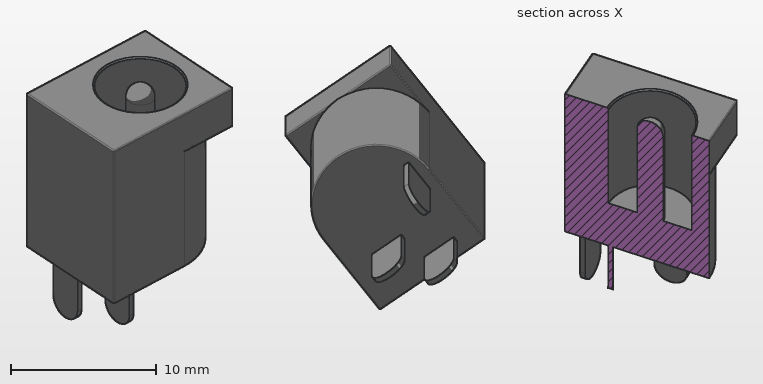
import cadquery as cq

width = 9.0
depth = 11.0
total_height = 18.0
leg_length = 4.93
body_height = total_height - leg_length
edge_radius = 0.09

barrel_radius = width / 2
axis_y = depth / 2 - barrel_radius
head_height = 3.31

bore_diameter = 6.3
bore_depth = 9.0
rim_chamfer = 0.1
pin_diameter = 2.0
pin_radius = pin_diameter / 2

leg_width = 2.5
leg_thickness = 0.4
side_leg_x = -3.47
front_leg_centers = [(-1.58, -4.3), (1.2, -2.02)]


def make_housing():
    """Square front block and overhanging head, with a round barrel under the head."""
    front_depth = depth - barrel_radius
    barrel_height = body_height - head_height
    front_block = (
        cq.Workplane("XY")
        .box(width, front_depth, body_height, centered=(True, False, False))
        .translate((0, -depth / 2, 0))
        .edges("(|Z and <Y) or ((>Z or <Z) and (not >Y))")
        .fillet(edge_radius)
    )
    head = (
        cq.Workplane("XY", origin=(0, axis_y, barrel_height))
        .box(width, barrel_radius, head_height, centered=(True, False, False))
        .edges("(|Z and >Y) or ((>Z or <Z) and (not <Y))")
        .fillet(edge_radius)
    )
    barrel = (
        cq.Workplane("XY")
        .moveTo(-barrel_radius, axis_y)
        .threePointArc((0, depth / 2), (barrel_radius, axis_y))
        .close()
        .extrude(barrel_height + edge_radius)
        .edges("<Z and %CIRCLE")
        .fillet(edge_radius)
    )
    return front_block.union(head).union(barrel)


def make_socket():
    """Round bore with a chamfered mouth."""
    top = cq.Workplane("XY", origin=(0, axis_y, body_height))
    bore = top.circle(bore_diameter / 2).extrude(-bore_depth)
    mouth = (
        top.circle(bore_diameter / 2 + rim_chamfer)
        .workplane(offset=-rim_chamfer)
        .circle(bore_diameter / 2)
        .loft()
    )
    return bore.union(mouth)


def make_pin():
    """Centre pin rising from the bore floor to a domed tip level with the top."""
    shaft_height = bore_depth - pin_radius
    floor = cq.Workplane("XY", origin=(0, axis_y, body_height - bore_depth))
    shaft = floor.circle(pin_radius).extrude(shaft_height)
    dome = cq.Workplane("XY").sphere(pin_radius).translate((0, axis_y, body_height - pin_radius))
    return shaft.union(dome)


def make_leg():
    """Blade facing along Y, hanging below Z = 0."""
    half_width = leg_width / 2
    shoulder = half_width - leg_length
    return (
        cq.Workplane("XZ")
        .moveTo(-half_width, 0)
        .lineTo(-half_width, shoulder)
        .threePointArc((0, -leg_length), (half_width, shoulder))
        .lineTo(half_width, 0)
        .close()
        .extrude(leg_thickness / 2, both=True)
    )


result = make_housing().cut(make_socket()).union(make_pin())
for x, y in front_leg_centers:
    result = result.union(make_leg().translate((x, y, 0)))
side_leg = make_leg().rotate((0, 0, 0), (0, 0, 1), 90)
result = result.union(side_leg.translate((side_leg_x, axis_y, 0)))